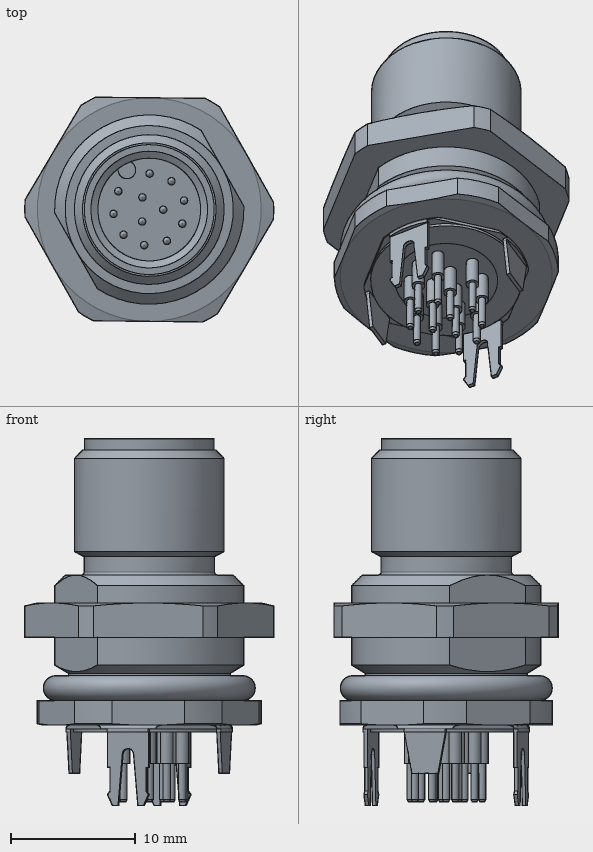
import cadquery as cq
import math


CLOCK = -0.6

Z_TOP = 21.03
Z_NOSE = 20.1
Z_BARREL_TOP = 19.45
Z_BARREL_BOTTOM = 11.95
Z_NECK = 11.55
Z_COLLAR_TOP = 10.07
Z_COLLAR_CHAMFER = 9.22
Z_NUT_TOP = 7.83
Z_NUT_BOTTOM = 5.07
Z_COLLAR_BOTTOM = 2.85
Z_SEAL_SEAT_TOP = 2.18
Z_FLANGE_BOTTOM = -1.97
Z_RIM_BOTTOM = -2.27
Z_SHIELD_BOTTOM = -2.53
Z_SHORT_LEG_END = -5.83
Z_LONG_LEG_END = -8.42

BORE_R = 4.12
BORE_MOUTH_R = 4.68
BORE_CHAMFER_DEPTH = 0.3
NOSE_R = 5.2
NOSE_LEDGE_R = 5.35
BARREL_R = 6.0
NECK_R = 5.25
NECK_FILLET = 0.27
COLLAR_TOP_R = 6.75
COLLAR_R = 7.6
COLLAR_FLAT_DISTANCE = 6.75
COLLAR_FLAT_ANGLE = 30

FLANGE_FLATS = 17.02
FLANGE_CORNER_DIA = 18.0
FLANGE_CHAMFER_DEPTH = 0.12
NUT_FLATS = 17.95
NUT_CORNER_DIA = 20.0
NUT_CHAMFER_DEPTH = 0.25

RIM_R = 6.69
RIM_FILLET = 0.27
RIM_FLAT_DISTANCE = 6.07
LEG_ANGLE = -105
LEG_FACE = 6.4
LEG_THICKNESS = 0.3
LEG_HALF_WIDTH = 1.7
SHORT_LEG_TIP_HALF_WIDTH = 1.1

SHANK_HALF_WIDTH = 1.5
Z_SHANK = -5.35
Z_BARB_TOP = -7.27
Z_BARB_POINT = -7.55
TIP_OUTER = 1.3
TIP_INNER = 0.82
SLOT_R = 0.47
Z_SLOT_TOP = -3.85

SEAL_TUBE_R = 1.0
SEAL_INNER_R = 6.5
SEAL_CENTRE_R = SEAL_INNER_R + SEAL_TUBE_R

Z_CARRIER_FACE = Z_NECK
KEY_R = 0.7
KEY_CENTRE_R = 3.65
KEY_ANGLE = 120
Z_KEY_TOP = 20.62

OUTER_PIN_COUNT = 9
OUTER_PIN_CIRCLE_R = 2.9
OUTER_PIN_START = 90
OUTER_PIN_PITCH = 37.5
INNER_PIN_COUNT = 3
INNER_PIN_CIRCLE_R = 1.12
PIN_R = 0.3
PIN_TIP_FILLET = 0.27
Z_PIN_TOP = 19.05
PIN_SHOULDER_R = 0.5
Z_SHOULDER = -5.07
TAIL_R = PIN_R
Z_TAIL_END = -8.13
TAIL_CHAMFER = 0.2


def cylinder(radius, z_bottom, z_top):
    return cq.Workplane("XY").workplane(offset=z_bottom).circle(radius).extrude(z_top - z_bottom)


def revolve_profile(profile):
    """Turn a profile, drawn as (radius, z) in the XZ plane, around the Z axis."""
    return profile.close().revolve(360, (0, 0, 0), (0, 1, 0))


def polar(radius, degrees):
    angle = math.radians(degrees)
    return radius * math.cos(angle), radius * math.sin(angle)


def turned_hexagon(across_flats, corner_dia, z_bottom, z_top):
    """Hexagonal prism, two flats facing +Y and -Y, with its corners turned to a diameter."""
    hexagon = (
        cq.Workplane("XY").workplane(offset=z_bottom)
        .polygon(6, across_flats, circumscribed=True)
        .extrude(z_top - z_bottom)
        .rotate((0, 0, 0), (0, 0, 1), 30)
    )
    return hexagon.intersect(cylinder(corner_dia / 2, z_bottom, z_top))


def corner_chamfer(across_flats, corner_dia, z_face, z_edge):
    """Ring that cuts a conical chamfer on hexagon corners, leaving a circle on the face at z_face."""
    inner_r = across_flats / 2
    outer_r = corner_dia / 2
    clearance = 1.1 * outer_r
    slope = (z_edge - z_face) / (outer_r - inner_r)
    z_clearance = z_face + slope * (clearance - inner_r)
    profile = (
        cq.Workplane("XZ").moveTo(inner_r, z_face)
        .lineTo(clearance, z_face)
        .lineTo(clearance, z_clearance)
    )
    return revolve_profile(profile)


def flat_cutter(distance, direction, z_bottom, z_top):
    """Block that removes everything beyond a flat at a distance from the axis."""
    size = 2 * COLLAR_R
    return (
        cq.Workplane("XY").workplane(offset=z_bottom)
        .center(distance + size / 2, 0)
        .rect(size, size)
        .extrude(z_top - z_bottom)
        .rotate((0, 0, 0), (0, 0, 1), direction)
    )


def housing_shell():
    """Turned outside of the housing above the flange, down to the flange bottom."""
    fillet_mid = NECK_FILLET * (1 - math.sqrt(0.5))
    neck_foot = (NECK_R, Z_COLLAR_TOP + NECK_FILLET)
    profile = (
        cq.Workplane("XZ").moveTo(0, Z_FLANGE_BOTTOM)
        .lineTo(SEAL_INNER_R, Z_FLANGE_BOTTOM)
        .lineTo(SEAL_INNER_R, Z_SEAL_SEAT_TOP)
        .lineTo(COLLAR_R, Z_COLLAR_BOTTOM)
        .lineTo(COLLAR_R, Z_COLLAR_CHAMFER)
        .lineTo(COLLAR_TOP_R, Z_COLLAR_TOP)
        .lineTo(NECK_R + NECK_FILLET, Z_COLLAR_TOP)
        .threePointArc((NECK_R + fillet_mid, Z_COLLAR_TOP + fillet_mid), neck_foot)
        .lineTo(NECK_R, Z_NECK)
        .lineTo(BARREL_R, Z_BARREL_BOTTOM)
        .lineTo(BARREL_R, Z_BARREL_TOP)
        .lineTo(NOSE_LEDGE_R, Z_NOSE)
        .lineTo(NOSE_R, Z_NOSE)
        .lineTo(NOSE_R, Z_TOP)
        .lineTo(0, Z_TOP)
    )
    shell = revolve_profile(profile)
    for side in (0, 180):
        direction = COLLAR_FLAT_ANGLE + side
        shell = shell.cut(flat_cutter(COLLAR_FLAT_DISTANCE, direction, Z_SEAL_SEAT_TOP, Z_COLLAR_TOP))
    return shell


def housing_flange():
    flange = turned_hexagon(FLANGE_FLATS, FLANGE_CORNER_DIA, Z_FLANGE_BOTTOM, 0)
    z_edge = Z_FLANGE_BOTTOM + FLANGE_CHAMFER_DEPTH
    return flange.cut(corner_chamfer(FLANGE_FLATS, FLANGE_CORNER_DIA, Z_FLANGE_BOTTOM, z_edge))


def shield_rim():
    """Rounded rim with four flats between the legs, over a plain lower ring."""
    rim = cylinder(RIM_R, Z_RIM_BOTTOM, Z_FLANGE_BOTTOM).faces(">Z").edges().fillet(RIM_FILLET)
    for quarter in range(4):
        direction = LEG_ANGLE + 45 + 90 * quarter
        rim = rim.cut(flat_cutter(RIM_FLAT_DISTANCE, direction, Z_RIM_BOTTOM, Z_FLANGE_BOTTOM))
    return rim.union(cylinder(RIM_FLAT_DISTANCE, Z_SHIELD_BOTTOM, Z_FLANGE_BOTTOM))


def leg_root():
    """Block under the rim, as wide as a leg and rounded like the rim, that carries the leg."""
    height = Z_RIM_BOTTOM - Z_SHIELD_BOTTOM
    block = (
        cq.Workplane("XY").workplane(offset=Z_SHIELD_BOTTOM)
        .center(LEG_FACE, 0)
        .rect(2 * LEG_THICKNESS, 2 * LEG_HALF_WIDTH)
        .extrude(height)
    )
    return block.intersect(cylinder(RIM_R, Z_SHIELD_BOTTOM, Z_RIM_BOTTOM))


def leg_plane():
    """Plane of a leg's inner face: its x runs across the leg and its y is up."""
    return cq.Workplane(cq.Plane((LEG_FACE - LEG_THICKNESS, 0, 0), xDir=(0, 1, 0), normal=(1, 0, 0)))


def short_leg():
    return (
        leg_plane()
        .polyline([
            (-LEG_HALF_WIDTH, Z_SHIELD_BOTTOM),
            (-SHORT_LEG_TIP_HALF_WIDTH, Z_SHORT_LEG_END),
            (SHORT_LEG_TIP_HALF_WIDTH, Z_SHORT_LEG_END),
            (LEG_HALF_WIDTH, Z_SHIELD_BOTTOM),
        ])
        .close()
        .extrude(LEG_THICKNESS)
    )


def forked_leg():
    """Long leg split by a slot into two barbed prongs."""
    right_side = [
        (LEG_HALF_WIDTH, Z_SHIELD_BOTTOM),
        (LEG_HALF_WIDTH, Z_SHANK),
        (SHANK_HALF_WIDTH, Z_SHANK),
        (SHANK_HALF_WIDTH, Z_BARB_TOP),
        (LEG_HALF_WIDTH, Z_BARB_POINT),
        (TIP_OUTER, Z_LONG_LEG_END),
        (TIP_INNER, Z_LONG_LEG_END),
        (SLOT_R, Z_SLOT_TOP - SLOT_R),
    ]
    left_side = [(-x, z) for x, z in reversed(right_side)]
    return (
        leg_plane()
        .polyline(right_side)
        .threePointArc((0, Z_SLOT_TOP), left_side[0])
        .polyline(left_side, includeCurrent=False)
        .close()
        .extrude(LEG_THICKNESS)
    )


def housing_bore():
    z_chamfer = Z_TOP - BORE_CHAMFER_DEPTH
    profile = (
        cq.Workplane("XZ").moveTo(0, Z_SHIELD_BOTTOM)
        .lineTo(BORE_R, Z_SHIELD_BOTTOM)
        .lineTo(BORE_R, z_chamfer)
        .lineTo(BORE_MOUTH_R, Z_TOP)
        .lineTo(0, Z_TOP)
    )
    return revolve_profile(profile)


def make_housing():
    housing = housing_shell().union(housing_flange()).union(shield_rim())
    legs = (forked_leg().union(leg_root()), short_leg().union(leg_root()))
    for quarter in range(4):
        leg = legs[quarter % 2].rotate((0, 0, 0), (0, 0, 1), LEG_ANGLE + 90 * quarter)
        housing = housing.union(leg)
    return housing.cut(housing_bore())


def make_nut():
    """Hex nut whose bore follows the collar and its two flats."""
    nut = turned_hexagon(NUT_FLATS, NUT_CORNER_DIA, Z_NUT_BOTTOM, Z_NUT_TOP)
    nut = nut.cut(corner_chamfer(NUT_FLATS, NUT_CORNER_DIA, Z_NUT_TOP, Z_NUT_TOP - NUT_CHAMFER_DEPTH))
    return nut.cut(housing_shell())


def make_seal():
    return (
        cq.Workplane("XZ").center(SEAL_CENTRE_R, SEAL_TUBE_R).circle(SEAL_TUBE_R)
        .revolve(360, (-SEAL_CENTRE_R, 0, 0), (-SEAL_CENTRE_R, 1, 0))
    )


def coding_key():
    """Round post that keys the plug, trimmed to the bore wall."""
    post = cylinder(KEY_R, Z_CARRIER_FACE, Z_KEY_TOP).translate((*polar(KEY_CENTRE_R, KEY_ANGLE), 0))
    return post.intersect(cylinder(BORE_R, Z_CARRIER_FACE, Z_KEY_TOP))


def contact_pin():
    """Plug pin above the carrier, and its shoulder and solder tail below."""
    pin = cylinder(PIN_R, Z_CARRIER_FACE, Z_PIN_TOP).faces(">Z").edges().fillet(PIN_TIP_FILLET)
    shoulder = cylinder(PIN_SHOULDER_R, Z_SHOULDER, Z_SHIELD_BOTTOM)
    tail_profile = (
        cq.Workplane("XZ").moveTo(0, Z_TAIL_END)
        .lineTo(TAIL_R - TAIL_CHAMFER / 2, Z_TAIL_END)
        .lineTo(TAIL_R, Z_TAIL_END + TAIL_CHAMFER)
        .lineTo(TAIL_R, Z_SHOULDER)
        .lineTo(0, Z_SHOULDER)
    )
    tail = revolve_profile(tail_profile)
    return pin, shoulder.union(tail)


def pin_positions():
    outer = [
        polar(OUTER_PIN_CIRCLE_R, OUTER_PIN_START - OUTER_PIN_PITCH * i)
        for i in range(OUTER_PIN_COUNT)
    ]
    inner = [polar(INNER_PIN_CIRCLE_R, 360 / INNER_PIN_COUNT * i) for i in range(INNER_PIN_COUNT)]
    return outer + inner


def make_carrier():
    carrier = cylinder(BORE_R, Z_SHIELD_BOTTOM, Z_CARRIER_FACE).union(coding_key())
    for x, y in pin_positions():
        for pin_section in contact_pin():
            carrier = carrier.union(pin_section.translate((x, y, 0)))
    return carrier


def clocked(body):
    return body.rotate((0, 0, 0), (0, 0, 1), CLOCK).solids().val()


housing = clocked(make_housing())
nut = clocked(make_nut())
seal = clocked(make_seal())
carrier = clocked(make_carrier())

result = cq.Compound.makeCompound([housing, nut, seal, carrier])